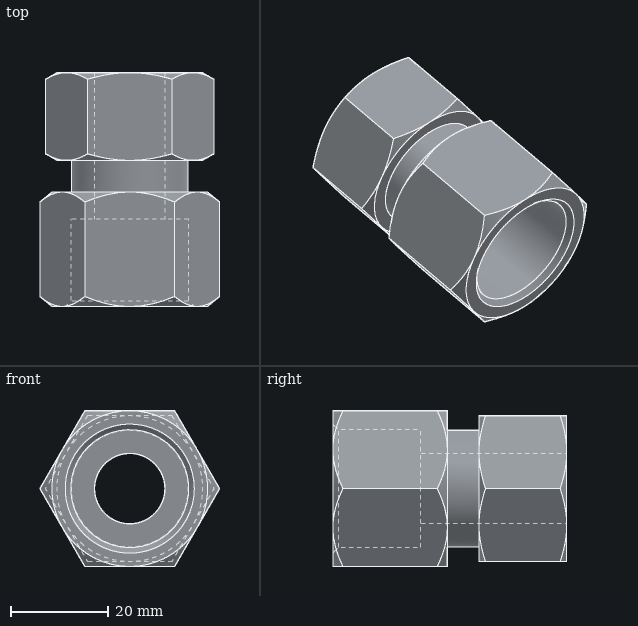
import cadquery as cq
import math

total_length = 48.0
large_nut_length = 23.55
small_nut_length = 18.0
neck_length = total_length - large_nut_length - small_nut_length

large_nut_flats = 32.0
small_nut_flats = 29.95
large_chamfer_angle = 40.0
small_chamfer_angle = 30.0

neck_diameter = 24.0
bore_diameter = 14.4
socket_diameter = 24.2
mouth_diameter = 26.5
mouth_depth = (mouth_diameter - socket_diameter) / 2
socket_depth = 18.0


def y_plane(y):
    """Plane at the given Y whose normal points toward +Y."""
    return cq.Plane(origin=(0, y, 0), xDir=(1, 0, 0), normal=(0, 1, 0))


def cylinder(y, diameter, length):
    return cq.Workplane(y_plane(y)).circle(diameter / 2).extrude(length)


def hex_nut(y, flats, length, chamfer_angle):
    """Hexagon with corners on X, cut conically at both ends down to the flats."""
    flat_radius = flats / 2
    corner_radius = flat_radius / math.cos(math.radians(30))
    drop = (corner_radius - flat_radius) * math.tan(math.radians(chamfer_angle))
    hexagon = cq.Workplane(y_plane(y)).polygon(6, 2 * corner_radius).extrude(length)
    envelope = (
        cq.Workplane("XY")
        .polyline([
            (0, y),
            (flat_radius, y),
            (corner_radius, y + drop),
            (corner_radius, y + length - drop),
            (flat_radius, y + length),
            (0, y + length),
        ])
        .close()
        .revolve(360, (0, 0, 0), (0, 1, 0))
    )
    return hexagon.intersect(envelope)


def socket(y):
    """Stepped socket with a conical mouth, opening toward -Y."""
    return (
        cq.Workplane("XY")
        .polyline([
            (0, y),
            (mouth_diameter / 2, y),
            (socket_diameter / 2, y + mouth_depth),
            (socket_diameter / 2, y + socket_depth),
            (0, y + socket_depth),
        ])
        .close()
        .revolve(360, (0, 0, 0), (0, 1, 0))
    )


small_nut_start = large_nut_length + neck_length
large_nut = hex_nut(0, large_nut_flats, large_nut_length, large_chamfer_angle)
small_nut = hex_nut(small_nut_start, small_nut_flats, small_nut_length, small_chamfer_angle)
neck = cylinder(0, neck_diameter, total_length)
body = large_nut.union(neck).union(small_nut)

result = body.cut(socket(0)).cut(cylinder(0, bore_diameter, total_length))